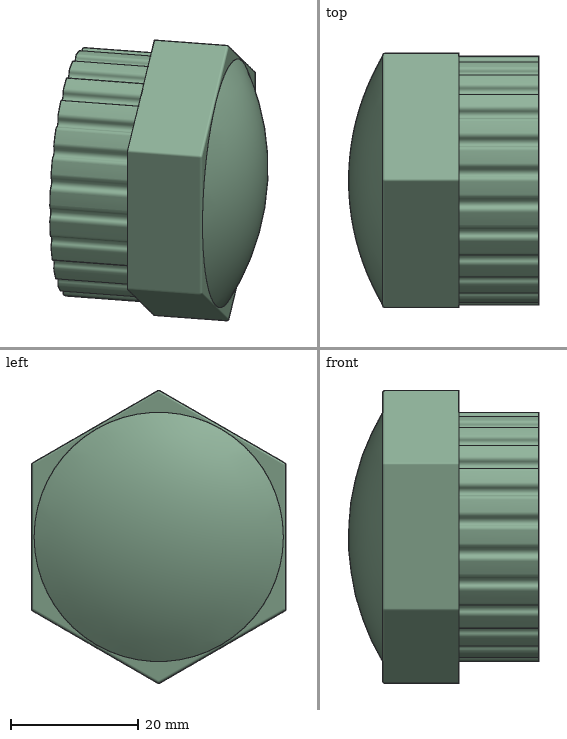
import cadquery as cq
import math

ACROSS_FLATS = 40.0
HEAD_LENGTH = 12.0
EDGE_RADIUS = 0.4

DOME_BASE_RADIUS = ACROSS_FLATS / 2 - EDGE_RADIUS
DOME_HEIGHT = 5.4
DOME_SPHERE_RADIUS = (DOME_BASE_RADIUS**2 + DOME_HEIGHT**2) / (2 * DOME_HEIGHT)

GRIP_RADIUS = DOME_BASE_RADIUS
GRIP_LENGTH = 12.6
FLUTE_COUNT = 25
FLUTE_RADIUS = 0.8
LIP_RADIUS = 0.8
FLUTE_PITCH = 2 * math.pi / FLUTE_COUNT
FIRST_LAND_ANGLE = math.pi


def polar(radius, angle):
    """Point in the YZ plane, with the angle measured from +Y towards +Z."""
    return (radius * math.cos(angle), radius * math.sin(angle))


def make_head():
    corner_radius = ACROSS_FLATS / math.sqrt(3)
    corners = [polar(corner_radius, math.radians(90 + 60 * i)) for i in range(6)]
    head = cq.Workplane("YZ").polyline(corners).close().extrude(HEAD_LENGTH)
    head = head.edges("|X").fillet(EDGE_RADIUS)
    return head.faces("<X").edges().fillet(EDGE_RADIUS)


def make_dome():
    sphere_centre = (DOME_SPHERE_RADIUS - DOME_HEIGHT, 0, 0)
    sphere = cq.Workplane("XY", origin=sphere_centre).sphere(DOME_SPHERE_RADIUS)
    front_cylinder = cq.Workplane("YZ").circle(DOME_BASE_RADIUS).extrude(-2 * DOME_HEIGHT)
    return sphere.intersect(front_cylinder)


def make_grip():
    lip_centre_radius = GRIP_RADIUS - LIP_RADIUS
    centre_gap = FLUTE_RADIUS + LIP_RADIUS
    lip_angle = math.acos(
        (GRIP_RADIUS**2 + lip_centre_radius**2 - centre_gap**2)
        / (2 * GRIP_RADIUS * lip_centre_radius)
    )
    flute_angle = math.asin(lip_centre_radius * math.sin(lip_angle) / centre_gap)
    lip_middle_angle = (lip_angle - flute_angle) / 2

    def joint(side, flute):
        """Point where a flute meets its lip on one side (-1 or 1)."""
        centre_y, centre_z = polar(GRIP_RADIUS, flute)
        inward_y, inward_z = polar(FLUTE_RADIUS, flute + math.pi - side * flute_angle)
        return (centre_y + inward_y, centre_z + inward_z)

    def lip_middle(side, flute):
        """Point halfway along the lip on one side (-1 or 1) of a flute."""
        centre_y, centre_z = polar(lip_centre_radius, flute + side * lip_angle)
        outward_y, outward_z = polar(LIP_RADIUS, flute + side * lip_middle_angle)
        return (centre_y + outward_y, centre_z + outward_z)

    first_flute = FIRST_LAND_ANGLE - FLUTE_PITCH / 2
    outline = cq.Workplane("YZ", origin=(HEAD_LENGTH, 0, 0))
    outline = outline.moveTo(*polar(GRIP_RADIUS, first_flute + lip_angle))
    for i in range(FLUTE_COUNT):
        land = FIRST_LAND_ANGLE + i * FLUTE_PITCH
        flute = land + FLUTE_PITCH / 2
        outline = (
            outline.threePointArc(polar(GRIP_RADIUS, land), polar(GRIP_RADIUS, flute - lip_angle))
            .threePointArc(lip_middle(-1, flute), joint(-1, flute))
            .threePointArc(polar(GRIP_RADIUS - FLUTE_RADIUS, flute), joint(1, flute))
            .threePointArc(lip_middle(1, flute), polar(GRIP_RADIUS, flute + lip_angle))
        )
    return outline.close().extrude(GRIP_LENGTH)


result = make_head().union(make_dome()).union(make_grip())